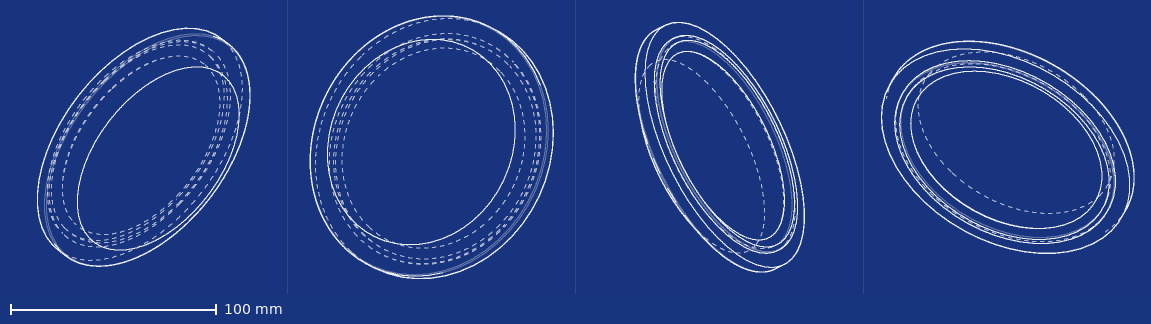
import cadquery as cq
import math

total_thickness = 15.5
rim_radius = 65.0

ring_radius = 57.5
ring_height = 1.5
ring_edge_round = 0.2

cone_slope = 30.0
back_radius = 51.3
rim_round = 1.0

recess_radius = 54.8
recess_wall_depth = 1.5
recess_floor_depth = 2.5
groove_radius = 2.5

cone_length = (rim_radius - back_radius) * math.tan(math.radians(cone_slope))
cone_start = total_thickness - cone_length


def revolve_about_x(profile):
    """Turn a profile drawn as (X, radius) all the way around the X axis."""
    return profile.close().revolve(360, (0, 0, 0), (1, 0, 0))


def edges_at(x):
    """Select the edges lying in the plane at the given X."""
    margin = 0.1
    reach = rim_radius + margin
    return cq.selectors.BoxSelector((x - margin, -reach, -reach), (x + margin, reach, reach))


def make_disc():
    """Raised ring face, cylindrical rim and conical back as one turned body."""
    outline = [
        (0, 0),
        (0, ring_radius),
        (ring_height, ring_radius),
        (ring_height, rim_radius),
        (cone_start, rim_radius),
        (total_thickness, back_radius),
        (total_thickness, 0),
    ]
    disc = revolve_about_x(cq.Workplane("XY").polyline(outline))
    disc = disc.edges(edges_at(cone_start)).fillet(rim_round)
    return disc.edges("<X").fillet(ring_edge_round)


def make_recess():
    """Flat recess with a straight wall that runs into a round groove around its floor."""
    center_radius = recess_radius - groove_radius
    floor_drop = recess_floor_depth - recess_wall_depth
    floor_radius = center_radius - math.sqrt(groove_radius**2 - floor_drop**2)
    groove_bottom = recess_wall_depth + groove_radius
    return revolve_about_x(
        cq.Workplane("XY")
        .lineTo(0, recess_radius)
        .lineTo(recess_wall_depth, recess_radius)
        .threePointArc((groove_bottom, center_radius), (recess_floor_depth, floor_radius))
        .lineTo(recess_floor_depth, 0)
    )


result = make_disc().cut(make_recess())